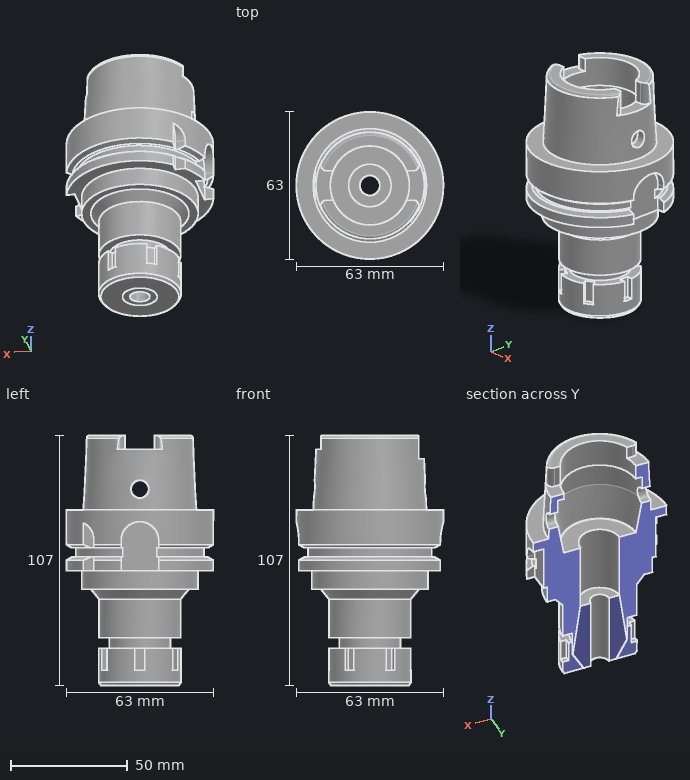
import cadquery as cq
import math

total_height = 107.0
flange_top = 75.1
groove_top = 60.2
groove_bottom = 53.6
groove_bevel_height = 1.4
flange_bottom = 49.0
collar_bottom = 41.1
shank_top = 36.9
shank_bottom = 20.4
nut_top = 16.0
nose_end = 9.0

taper_base_radius = 24.3
taper_tip_radius = 22.8
flange_radius = 31.51
groove_bevel_radius = 29.1
groove_root_radius = 27.5
collar_radius = 24.9
shank_cone_radius = 21.0
shank_radius = 17.5
nose_radius = 13.2

mouth_radius = 16.9
undercut_radius = 19.8
undercut_top = 93.9
undercut_bottom = 81.4
undercut_bevel_angle = 10.0
undercut_bevel_height = (undercut_radius - mouth_radius) / math.tan(math.radians(undercut_bevel_angle))
cavity_floor = 65.3
rim_radius = 1.3

drive_slot_width = 12.5
drive_slot_left_depth = 5.9
drive_slot_right_depth = 10.0
drive_slot_lip_radius = 2.5
drive_slot_flat = 21.0

cross_hole_radius = 3.7
cross_hole_height = 84.0

keyway_apex = 70.1
keyway_floor = 26.5
keyway_left_width = 16.0
keyway_right_width = 18.0
notch_floor = 20.2
notch_side = 19.8
notch_radius = 7.2

nut_radius = 17.7
nut_chamfer_width = 1.0
nut_chamfer_height = 1.4
nut_slot_count = 6
nut_slot_width = 4.3
nut_slot_bottom = 6.6
nut_slot_floor = 14.9

collet_bore_radius = 4.23
collet_back = 34.0
collet_back_radius = 9.1
collet_back_angle = 8.0
collet_front_angle = 30.0
collet_max_radius = collet_back_radius + (collet_back - nose_end) * math.tan(math.radians(collet_back_angle))
collet_front_radius = collet_max_radius - nose_end * math.tan(math.radians(collet_front_angle))


def revolve_profile(points):
    """Solid of revolution about Z from a closed outline of (radius, height) points."""
    return cq.Workplane("XZ").polyline(points).close().revolve(360, (0, 0, 0), (0, 1, 0))


def collet_envelope():
    """Double cone that fills the seat in the holder and the nut."""
    return revolve_profile([
        (0, 0),
        (collet_front_radius, 0),
        (collet_max_radius, nose_end),
        (collet_back_radius, collet_back),
        (0, collet_back),
    ])


def holder_blank():
    return revolve_profile([
        (0, nose_end),
        (nose_radius, nose_end),
        (nose_radius, shank_bottom),
        (shank_radius, shank_bottom),
        (shank_radius, shank_top),
        (shank_cone_radius, collar_bottom),
        (collar_radius, collar_bottom),
        (collar_radius, flange_bottom),
        (flange_radius, flange_bottom),
        (flange_radius, groove_bottom),
        (groove_bevel_radius, groove_bottom + groove_bevel_height),
        (groove_root_radius, groove_bottom + groove_bevel_height),
        (groove_root_radius, groove_top - groove_bevel_height),
        (groove_bevel_radius, groove_top - groove_bevel_height),
        (flange_radius, groove_top),
        (flange_radius, flange_top),
        (taper_base_radius, flange_top),
        (taper_tip_radius, total_height),
        (0, total_height),
    ])


def holder_cavity():
    """Stepped hollow of the taper and the narrower bore that leads to the collet."""
    return revolve_profile([
        (0, collet_back),
        (collet_back_radius, collet_back),
        (collet_back_radius, cavity_floor),
        (mouth_radius, cavity_floor),
        (mouth_radius, undercut_bottom - undercut_bevel_height),
        (undercut_radius, undercut_bottom),
        (undercut_radius, undercut_top),
        (mouth_radius, undercut_top),
        (mouth_radius, total_height),
        (0, total_height),
    ])


def drive_slot(side, depth):
    """Slot across the rim on the +X (side = 1) or -X (side = -1) half.

    The slot has rounded lips and opens onto a flat that trims the outer taper.
    """
    half_width = drive_slot_width / 2
    lip_start = drive_slot_flat - drive_slot_lip_radius
    lip_end = half_width + drive_slot_lip_radius
    diagonal = drive_slot_lip_radius * math.sqrt(0.5)
    lip_middle = (lip_start + diagonal, lip_end - diagonal)
    outside = taper_base_radius
    profile = (
        cq.Workplane("XY", origin=(0, 0, total_height - depth))
        .moveTo(0, -half_width)
        .lineTo(side * lip_start, -half_width)
        .threePointArc((side * lip_middle[0], -lip_middle[1]), (side * drive_slot_flat, -lip_end))
        .lineTo(side * drive_slot_flat, -outside)
        .lineTo(side * outside, -outside)
        .lineTo(side * outside, outside)
        .lineTo(side * drive_slot_flat, outside)
        .lineTo(side * drive_slot_flat, lip_end)
        .threePointArc((side * lip_middle[0], lip_middle[1]), (side * lip_start, half_width))
        .lineTo(0, half_width)
        .close()
    )
    return profile.extrude(depth)


def rim_rounding():
    """Ring that, once cut away, rounds the outer edge of the rim."""
    rounding_start = total_height - rim_radius
    outside = taper_base_radius
    diagonal = rim_radius * math.sqrt(0.5)
    center_radius = taper_tip_radius - rim_radius
    return (
        cq.Workplane("XZ")
        .moveTo(center_radius, total_height)
        .threePointArc(
            (center_radius + diagonal, rounding_start + diagonal),
            (taper_tip_radius, rounding_start))
        .lineTo(outside, rounding_start)
        .lineTo(outside, total_height)
        .close()
        .revolve(360, (0, 0, 0), (0, 1, 0))
    )


def round_top_keyway(x_start, x_end, y_center, width):
    """Keyway along X with a round top, open at the bottom of the flange."""
    radius = width / 2
    spring = keyway_apex - radius
    return (
        cq.Workplane("YZ", origin=(x_start, 0, 0))
        .moveTo(y_center - radius, flange_bottom)
        .lineTo(y_center + radius, flange_bottom)
        .lineTo(y_center + radius, spring)
        .threePointArc((y_center, keyway_apex), (y_center - radius, spring))
        .close()
        .extrude(x_end - x_start)
    )


def make_holder():
    holder = holder_blank().cut(holder_cavity()).cut(collet_envelope())

    holder = holder.cut(drive_slot(-1, drive_slot_left_depth))
    holder = holder.cut(drive_slot(1, drive_slot_right_depth))
    holder = holder.cut(rim_rounding())

    cross_hole = (
        cq.Workplane("YZ")
        .center(0, cross_hole_height)
        .circle(cross_hole_radius)
        .extrude(taper_base_radius, both=True)
    )
    holder = holder.cut(cross_hole)

    holder = holder.cut(round_top_keyway(-flange_radius, -keyway_floor, 0, keyway_left_width))
    holder = holder.cut(round_top_keyway(keyway_floor, flange_radius, 0, keyway_right_width))
    notch_center = notch_side + notch_radius
    return holder.cut(round_top_keyway(-flange_radius, -notch_floor, notch_center, 2 * notch_radius))


def make_nut():
    nut = revolve_profile([
        (0, 0),
        (nut_radius - nut_chamfer_width, 0),
        (nut_radius, nut_chamfer_height),
        (nut_radius, nut_top),
        (nose_radius, nut_top),
        (nose_radius, nose_end),
        (0, nose_end),
    ]).cut(collet_envelope())
    slot = cq.Workplane("XY").box(
        nut_radius, nut_slot_width, nut_top - nut_slot_bottom, centered=(False, True, False)
    ).translate((nut_slot_floor, 0, nut_slot_bottom))
    for index in range(nut_slot_count):
        nut = nut.cut(slot.rotate((0, 0, 0), (0, 0, 1), index * 360 / nut_slot_count))
    return nut


def make_collet():
    bore = cq.Workplane("XY").circle(collet_bore_radius).extrude(collet_back)
    return collet_envelope().cut(bore)


holder = make_holder()
nut = make_nut()
collet = make_collet()

result = cq.Compound.makeCompound([holder.val(), nut.val(), collet.val()])